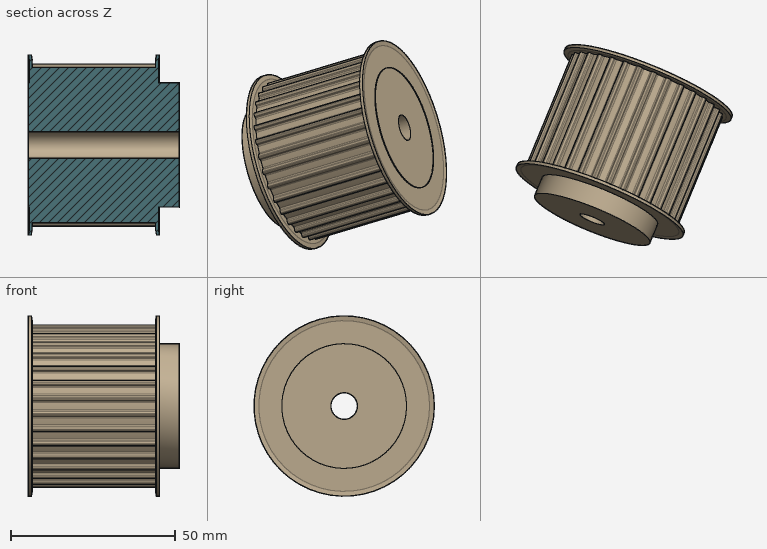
import cadquery as cq
import math

TOOTH_COUNT = 32
TIP_RADIUS = 24.85
GROOVE_DEPTH = 1.18
ROOT_RADIUS = TIP_RADIUS - GROOVE_DEPTH
GROOVE_HALF_WIDTH = 1.37
FLANK_ANGLE = math.radians(22.5)
ROOT_FILLET = 0.45
TIP_FILLET = 0.65

BODY_LENGTH = 40.0
TOTAL_LENGTH = 46.0
HUB_RADIUS = 19.0
BORE_RADIUS = 4.0

FLANGE_RADIUS = 27.5
FLANGE_BEND_RADIUS = 26.0
FLANGE_THICKNESS = 1.0
FLANGE_BEND = 0.25


def flank_rounding(circle_radius, rounding):
    """Rounding between a groove flank and a circle about the pulley axis.

    A positive rounding lies on the tooth side (tip), a negative one on the
    groove side (root). The groove axis is +v. Returns the tangent point on
    the circle, the middle of the arc and the tangent point on the flank.
    """
    along = (math.sin(FLANK_ANGLE), math.cos(FLANK_ANGLE))
    normal = (math.cos(FLANK_ANGLE), -math.sin(FLANK_ANGLE))
    flank_offset = GROOVE_HALF_WIDTH * normal[0] + ROOT_RADIUS * normal[1]

    centre_distance = circle_radius - rounding
    across = flank_offset + rounding
    up = math.sqrt(centre_distance**2 - across**2)
    centre = (across * normal[0] + up * along[0], across * normal[1] + up * along[1])

    on_circle = tuple(c * circle_radius / centre_distance for c in centre)
    on_flank = tuple(c - rounding * n for c, n in zip(centre, normal))
    chord_middle = tuple((a + b) / 2 for a, b in zip(on_circle, on_flank))
    reach = math.dist(centre, chord_middle)
    middle = tuple(c + (m - c) * abs(rounding) / reach for c, m in zip(centre, chord_middle))
    return on_circle, middle, on_flank


def turned(point, angle):
    """Point turned clockwise about the pulley axis."""
    u, v = point
    return (
        u * math.cos(angle) + v * math.sin(angle),
        v * math.cos(angle) - u * math.sin(angle),
    )


def mirrored(point):
    """Point mirrored in the groove axis."""
    return (-point[0], point[1])


def make_toothed_body():
    """Rounded tooth profile between the outer faces of the two flange webs."""
    root_floor, root_middle, root_flank = flank_rounding(ROOT_RADIUS, -ROOT_FILLET)
    tip_land, tip_middle, tip_flank = flank_rounding(TIP_RADIUS, TIP_FILLET)
    pitch_angle = 2 * math.pi / TOOTH_COUNT
    land_middle = turned((0, TIP_RADIUS), pitch_angle / 2)
    next_land = turned(mirrored(tip_land), pitch_angle)

    outline = cq.Workplane("YZ").moveTo(*mirrored(tip_land))
    for index in range(TOOTH_COUNT):
        angle = index * pitch_angle
        outline = (
            outline.threePointArc(turned(mirrored(tip_middle), angle), turned(mirrored(tip_flank), angle))
            .lineTo(*turned(mirrored(root_flank), angle))
            .threePointArc(turned(mirrored(root_middle), angle), turned(mirrored(root_floor), angle))
            .threePointArc(turned((0, ROOT_RADIUS), angle), turned(root_floor, angle))
            .threePointArc(turned(root_middle, angle), turned(root_flank, angle))
            .lineTo(*turned(tip_flank, angle))
            .threePointArc(turned(tip_middle, angle), turned(tip_land, angle))
            .threePointArc(turned(land_middle, angle), turned(next_land, angle))
        )
    return outline.close().extrude(BODY_LENGTH - 2 * FLANGE_BEND).translate((FLANGE_BEND, 0, 0))


def make_flange():
    """Dished ring at X = 0 whose rim leans outwards, away from the teeth."""
    return (
        cq.Workplane("XY")
        .moveTo(FLANGE_BEND, BORE_RADIUS)
        .lineTo(FLANGE_BEND, FLANGE_BEND_RADIUS)
        .lineTo(0, FLANGE_RADIUS)
        .lineTo(FLANGE_THICKNESS, FLANGE_RADIUS)
        .lineTo(FLANGE_THICKNESS + FLANGE_BEND, FLANGE_BEND_RADIUS)
        .lineTo(FLANGE_THICKNESS + FLANGE_BEND, BORE_RADIUS)
        .close()
        .revolve(360, (0, 0, 0), (1, 0, 0))
    )


near_flange = make_flange()
far_flange = near_flange.mirror("YZ").translate((BODY_LENGTH, 0, 0))
hub = cq.Workplane("YZ").circle(HUB_RADIUS).extrude(TOTAL_LENGTH)
bore = cq.Workplane("YZ").circle(BORE_RADIUS).extrude(TOTAL_LENGTH)

result = make_toothed_body().union(near_flange).union(far_flange).union(hub).cut(bore)